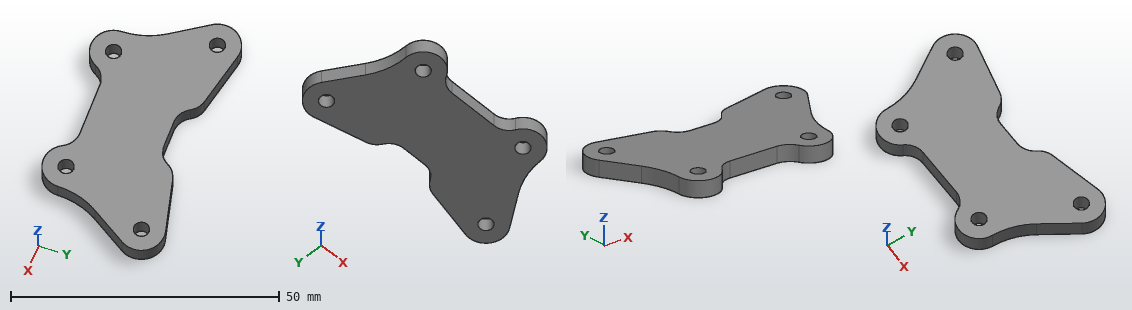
import cadquery as cq
import math

LENGTH = 50.7
THICKNESS = 3.5
BOSS_RADIUS = 4.5
HOLE_DIAMETER = 3.0
LOWER_HOLE_X = 13.0
UPPER_HOLE_X = LENGTH / 2 - BOSS_RADIUS
UPPER_HOLE_Y = 17.75
WAIST_TOP_Y = 15.65
BLEND_RADIUS = 4.0
SHOULDER_X = 9.65
FLANK_RADIUS = 15.0
JOINT_TOLERANCE = 5.07e-07

lower_boss = (LOWER_HOLE_X, 0.0)
upper_boss = (UPPER_HOLE_X, UPPER_HOLE_Y)
flank = (LOWER_HOLE_X + BOSS_RADIUS + FLANK_RADIUS, 0.0)
shoulder = (SHOULDER_X, WAIST_TOP_Y)
lower_blend = (LOWER_HOLE_X - math.sqrt((BOSS_RADIUS + BLEND_RADIUS) ** 2 - BLEND_RADIUS**2), -BLEND_RADIUS)
upper_blend = (SHOULDER_X - math.sqrt(3) * BLEND_RADIUS, WAIST_TOP_Y + BLEND_RADIUS)


def polar(center, radius, angle):
    """Point on a circle at the given angle in radians."""
    return (center[0] + radius * math.cos(angle), center[1] + radius * math.sin(angle))


def direction(start, end):
    """Angle of the line from start to end."""
    return math.atan2(end[1] - start[1], end[0] - start[0])


side_normal = direction(flank, upper_boss) + math.acos(
    (BOSS_RADIUS + FLANK_RADIUS) / math.dist(flank, upper_boss)
)
top_normal = direction(shoulder, upper_boss) + math.acos(
    (BLEND_RADIUS - BOSS_RADIUS) / math.dist(shoulder, upper_boss)
)
lower_joint_angle = direction(lower_boss, lower_blend)
upper_joint_angle = direction(shoulder, upper_blend)

right_arcs = [
    (lower_blend, BLEND_RADIUS, math.pi / 2, lower_joint_angle + math.pi),
    (lower_boss, BOSS_RADIUS, lower_joint_angle, 0.0),
    (flank, FLANK_RADIUS, math.pi, side_normal),
    (upper_boss, BOSS_RADIUS, side_normal - math.pi, top_normal),
    (shoulder, BLEND_RADIUS, top_normal, upper_joint_angle),
    (upper_blend, BLEND_RADIUS, upper_joint_angle - math.pi, -math.pi / 2),
]


def arc_points(center, radius, start, end):
    """Start, middle and end points of an arc."""
    return [polar(center, radius, angle) for angle in (start, (start + end) / 2, end)]


def mirrored(points):
    """The same arc on the left half, walked in the opposite direction."""
    return [(-x, y) for x, y in reversed(points)]


def plate():
    right = [arc_points(*arc) for arc in right_arcs]
    arcs = right + [mirrored(points) for points in reversed(right)]
    outline = cq.Workplane("XY").moveTo(*arcs[0][0])
    position = arcs[0][0]
    for start, middle, end in arcs:
        if math.dist(position, start) > JOINT_TOLERANCE:
            outline = outline.lineTo(*start)
        outline = outline.threePointArc(middle, end)
        position = end
    return outline.close().extrude(THICKNESS)


def holes():
    centers = [(side * x, y) for side in (-1, 1) for x, y in (lower_boss, upper_boss)]
    return cq.Workplane("XY").pushPoints(centers).circle(HOLE_DIAMETER / 2).extrude(THICKNESS)


result = plate().cut(holes())